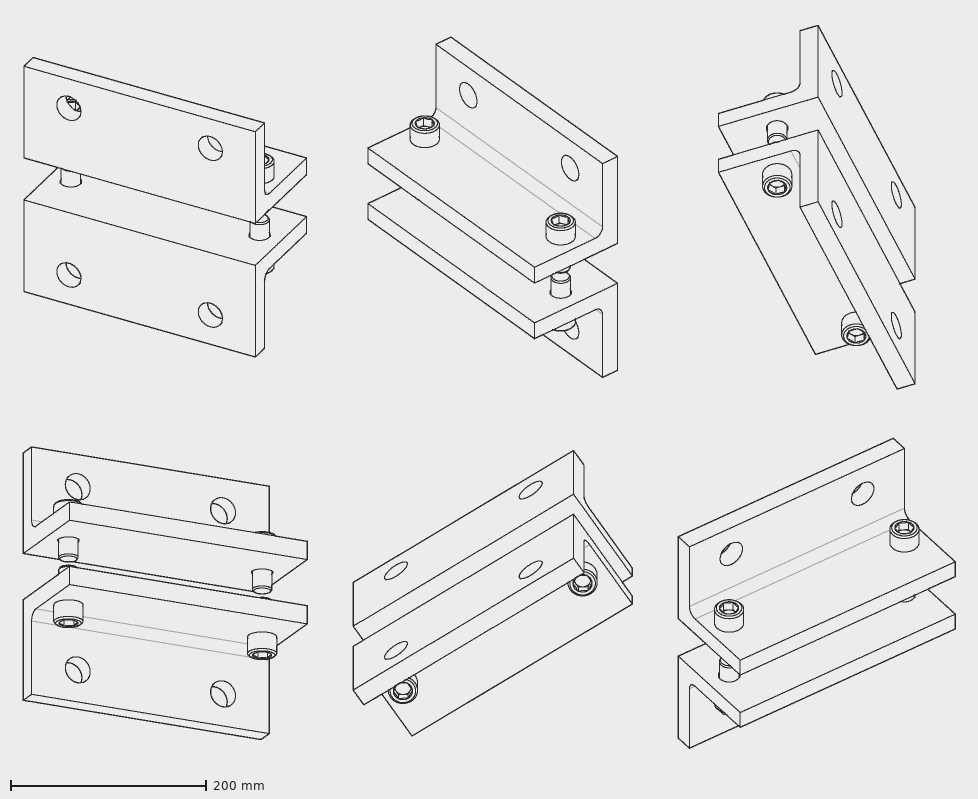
import cadquery as cq
import math

length = 270.0
overall_height = 270.0

leg = 110.0
thickness = 20.0
inner_fillet = 10.0
bracket_gap = overall_height - 2 * leg

mount_hole_diameter = 28.0
mount_hole_spacing = 165.0
mount_hole_edge = 35.0

screw_spacing = 220.0
screw_y = leg / 2
clearance_diameter = 22.0
shank_diameter = 20.0
screw_tip_gap = 10.0
tip_chamfer_width = 1.0
tip_chamfer_height = 2.0
head_diameter = 1.5 * shank_diameter
head_height = shank_diameter
head_chamfer = 2.0
socket_width = 17.0
socket_depth = head_height / 2
socket_cone_angle = 120.0

flat_leg_bottom = bracket_gap / 2
flat_leg_top = flat_leg_bottom + thickness
upright_top = flat_leg_bottom + leg
shank_length = flat_leg_top - screw_tip_gap / 2


def make_bracket():
    """Upper angle bracket: flat leg below, upright leg along the front face."""
    profile = (
        cq.Workplane("YZ")
        .moveTo(0, flat_leg_bottom)
        .lineTo(leg, flat_leg_bottom)
        .lineTo(leg, flat_leg_top)
        .lineTo(thickness + inner_fillet, flat_leg_top)
        .radiusArc((thickness, flat_leg_top + inner_fillet), inner_fillet)
        .lineTo(thickness, upright_top)
        .lineTo(0, upright_top)
        .close()
    )
    bracket = profile.extrude(length / 2, both=True)

    mount_z = upright_top - mount_hole_edge
    mount_holes = (
        cq.Workplane("XZ")
        .pushPoints([(side * mount_hole_spacing / 2, mount_z) for side in (-1, 1)])
        .circle(mount_hole_diameter / 2)
        .extrude(-thickness)
    )
    clearance_holes = (
        cq.Workplane("XY", origin=(0, screw_y, flat_leg_bottom))
        .pushPoints([(side * screw_spacing / 2, 0) for side in (-1, 1)])
        .circle(clearance_diameter / 2)
        .extrude(thickness)
    )
    return bracket.cut(mount_holes).cut(clearance_holes)


def make_cone(radius, base_z):
    """Cone on the Z axis with its base at base_z and its point below."""
    height = radius / math.tan(math.radians(socket_cone_angle / 2))
    return (
        cq.Workplane("XZ")
        .moveTo(0, base_z - height)
        .lineTo(radius, base_z)
        .lineTo(0, base_z)
        .close()
        .revolve(360, (0, 0, 0), (0, 1, 0))
    )


def make_socket():
    """Hexagonal socket with a countersunk mouth and a drill point at its bottom."""
    sides = 6
    half_side_angle = 180 / sides
    corner_diameter = socket_width / math.cos(math.radians(half_side_angle))
    hexagon = (
        cq.Workplane("XY", origin=(0, 0, head_height))
        .transformed(rotate=(0, 0, half_side_angle))
        .polygon(sides, corner_diameter)
        .extrude(-socket_depth)
    )
    mouth = make_cone(corner_diameter / 2, head_height)
    drill_point = make_cone(socket_width / 2, head_height - socket_depth)
    return hexagon.union(mouth).union(drill_point)


def make_screw():
    """Socket head screw on the Z axis, underside of its head at the origin."""
    shank_radius = shank_diameter / 2
    head_radius = head_diameter / 2
    body = (
        cq.Workplane("XZ")
        .moveTo(0, -shank_length)
        .lineTo(shank_radius - tip_chamfer_width, -shank_length)
        .lineTo(shank_radius, -shank_length + tip_chamfer_height)
        .lineTo(shank_radius, 0)
        .lineTo(head_radius, 0)
        .lineTo(head_radius, head_height - head_chamfer)
        .lineTo(head_radius - head_chamfer, head_height)
        .lineTo(0, head_height)
        .close()
        .revolve(360, (0, 0, 0), (0, 1, 0))
    )
    return body.cut(make_socket())


upper_bracket = make_bracket()
lower_bracket = upper_bracket.mirror("XY")

screws = []
for side in (-1, 1):
    upper_screw = make_screw().translate((side * screw_spacing / 2, screw_y, flat_leg_top))
    screws.append(upper_screw.val())
    screws.append(upper_screw.mirror("XY").val())

result = cq.Compound.makeCompound([upper_bracket.val(), lower_bracket.val(), *screws])